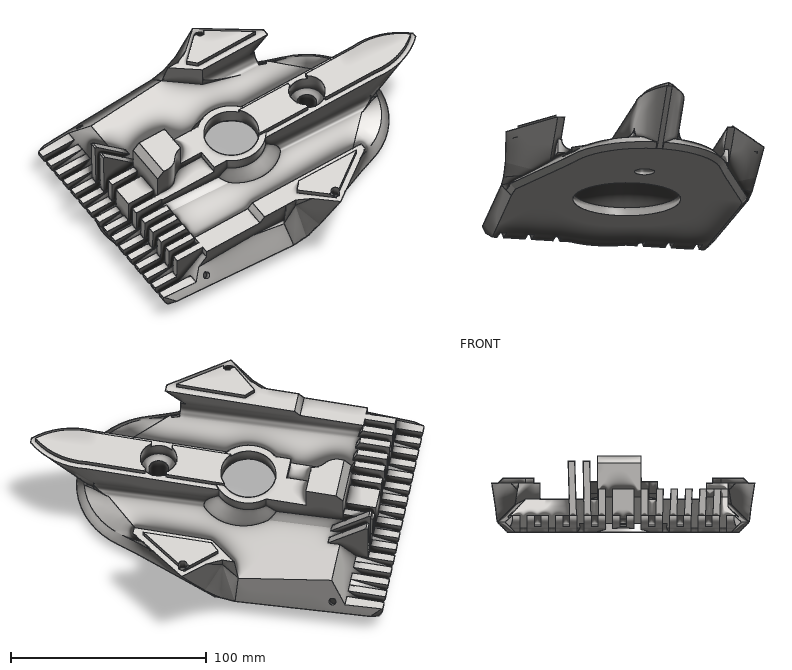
import cadquery as cq
import math


TOP_Z = 25.2
RING_Z = 26.0
PAD_RISE = 2.5
PLATE_Z = 8.5
FIN_Z = 22.3
TALL_FIN_Z = 36.5
BLOCK_Z = 39.1
SILL_Z = 5.2
DOME_SILL_Z = 2.7
DECK_Z = 13.5
DECK_TILT = 3.7
DECK_SLOPE = math.tan(math.radians(DECK_TILT))

NOSE_Y = 113.2
NOSE_SHOULDER_Y = 82.4
NOSE_LEAN = 26.7
TOOTH_TIP_Y = -80.6
TOOTH_LOW_Y = -79.0
PLATE_START_Y = -61.2
SLOT_Y = -67.5
BODY_FRONT_Y = -51.7

DOME_Y = 46.7
DOME_R = 42.0
HULL_HALF = 64.3
HULL_BACK_Y = -5.2
DOME_RISE = 3.9
CORNER_NEAR = (14.0, 71.7)
CORNER_FAR = (38.2, 47.5)
SMALL_HOLE_D = 10.0
COUNTERBORE_D = 18.6
COUNTERBORE_Z = 17.5
BORE_D = 28.0
BORE_Z = 18.5
RING_R = 17.6
RING_FOOT_Z = 19.8
CAVITY_R = 27.5
CAVITY_LIP_Z = 4.3

NOSE_HALF = 23.5 / 2
TAIL_HALF = 13.2
PAD_HALF = 9.1
NOSE_FILLET = 8.0 / 2
TAIL_FOOT_W = 5.2
TAIL_FOOT_H = 1.2
RAIL_IN = 42.5
RAIL_OUT = 53.5
RAIL_FILLET = 5.0
WING_BACK_Y = 11.0
WING_CORNER_X = 55.5
TOOTH_COUNT = 16
TOOTH_SPAN = 109.3
TOOTH_PITCH = TOOTH_SPAN / (TOOTH_COUNT - 1)
TOOTH_W = 3.9
FIN_W = 3.5
FILLET_FRONT_Y = 43.2
FOOT_ROOT = 2.0
BIG = 193.8


def deck_height(y):
    return DECK_Z - DECK_SLOPE * y


def prism(points, z0, z1):
    """Vertical prism over a plan outline."""
    return cq.Workplane("XY").workplane(offset=z0).polyline(points).close().extrude(z1 - z0)


def box(x0, x1, y0, y1, z0, z1):
    return cq.Workplane("XY").box(x1 - x0, y1 - y0, z1 - z0, centered=False).translate((x0, y0, z0))


def side_prism(points, x0, x1):
    """Prism along X over a (Y, Z) outline."""
    return cq.Workplane("YZ").workplane(offset=x0).polyline(points).close().extrude(x1 - x0)


def cylinder(x, y, radius, z0, z1):
    return cq.Workplane("XY").workplane(offset=z0).center(x, y).circle(radius).extrude(z1 - z0)


def cone(y, r0, z0, r1, z1):
    return (cq.Workplane("XY").workplane(offset=z0).center(0, y).circle(r0)
            .workplane(offset=z1 - z0).circle(r1).loft(ruled=True))


def both_sides(shape):
    return shape.union(shape.mirror("YZ"))


def bevelled(outline, sill_z, rise):
    """Solid widest at sill_z: tapers in by 45 degrees upwards by rise and down to the underside."""
    wire = outline.wires().val()
    upper = cq.Workplane("XY").add(wire).toPending().extrude(rise, taper=45)
    lower = cq.Workplane("XY").add(wire).toPending().extrude(sill_z, taper=45).mirror("XY")
    return upper.union(lower).translate((0, 0, sill_z))


def rear_hull():
    back_half, front_half = HULL_HALF, 60.5
    back_y, front_y = HULL_BACK_Y, -74.8
    flare = (back_half - front_half) / (back_y - front_y)
    reach = 23.3
    long_back, long_front = back_y + reach, front_y - reach
    outline = []
    for y, side in ((long_back, -1), (long_back, 1), (long_front, 1), (long_front, -1)):
        outline.append((side * (front_half + flare * (y - front_y)), y))
    above_deck_z = 18.5
    hull = bevelled(cq.Workplane("XY").polyline(outline).close(), SILL_Z, above_deck_z - SILL_Z)
    tip_half = 56.5
    front_plan = [(-BIG, back_y), (BIG, back_y), (BIG, front_y), (front_half, front_y),
                  (tip_half, TOOTH_TIP_Y), (-tip_half, TOOTH_TIP_Y), (-front_half, front_y), (-BIG, front_y)]
    hull = hull.intersect(prism(front_plan, 0, BLOCK_Z))
    deck_edge_y = (DECK_Z - PLATE_Z + PLATE_START_Y) / (1 + DECK_SLOPE)
    profile = (cq.Workplane("YZ").workplane(offset=-BIG).moveTo(back_y, 0).lineTo(back_y, deck_height(back_y))
               .lineTo(deck_edge_y, deck_height(deck_edge_y)).lineTo(PLATE_START_Y, PLATE_Z)
               .lineTo(TOOTH_TIP_Y, PLATE_Z).lineTo(TOOTH_TIP_Y, 7.8)
               .threePointArc((-79.8, 4.5), (-77.1, 1.7)).lineTo(-75.4, 0).close().extrude(2 * BIG))
    return hull.intersect(profile)


def dome(rise):
    """Dome outline and flanks, tapering in by 45 degrees over the given rise."""
    tangent = math.radians(18)
    flank = (DOME_R * math.cos(tangent), DOME_Y + DOME_R * math.sin(tangent))
    back_half, back_y = HULL_HALF - SILL_Z + DOME_SILL_Z, HULL_BACK_Y - 2 * rise
    bend_x, bend_y, side_y = 43.5, 50.4, 5.8
    outline = (cq.Workplane("XY").moveTo(*flank)
               .threePointArc((0, DOME_Y + DOME_R), (-flank[0], flank[1]))
               .lineTo(-bend_x, bend_y).lineTo(-back_half, side_y).lineTo(-back_half, back_y)
               .lineTo(back_half, back_y).lineTo(back_half, side_y).lineTo(bend_x, bend_y).close())
    whole = bevelled(outline, DOME_SILL_Z, rise)
    return whole.intersect(box(-BIG, BIG, HULL_BACK_Y, BIG, 0, BLOCK_Z))


def front_hull():
    return dome(DOME_RISE).union(dome_shoulder()).union(front_deck())


def dome_shoulder():
    """Ruled blend from the rim of the dome up to the straight front edge of the deck, on both sides."""
    z = DOME_SILL_Z + DOME_RISE
    radius = DOME_R - DOME_RISE
    start_deg, end_deg = 2, 75
    rim = []
    for deg in (start_deg, (start_deg + end_deg) / 2, end_deg):
        angle = math.radians(deg)
        rim.append(cq.Vector(radius * math.cos(angle), DOME_Y + radius * math.sin(angle), z))
    back_y = DOME_Y - 19.4
    back = cq.Vector(0, back_y, z)
    low_wire = cq.Wire.assembleEdges([cq.Edge.makeThreePointArc(*rim), cq.Edge.makeLine(rim[-1], back),
                                      cq.Edge.makeLine(back, rim[0])])
    top = [CORNER_FAR, CORNER_NEAR, (0, back_y)]
    top_wire = cq.Wire.makePolygon([cq.Vector(x, y, deck_height(y)) for x, y in top], close=True)
    return both_sides(cq.Workplane(obj=cq.Solid.makeLoft([low_wire, top_wire], True)))


def front_deck():
    reach = CORNER_NEAR[1] - HULL_BACK_Y
    half = [CORNER_NEAR, (CORNER_NEAR[0] + reach, HULL_BACK_Y)]
    outline = half + [(-x, y) for x, y in reversed(half)]
    front_y = CORNER_NEAR[1] + 2
    under_deck = [(HULL_BACK_Y, 0), (front_y, 0), (front_y, deck_height(front_y)),
                  (HULL_BACK_Y, deck_height(HULL_BACK_Y))]
    behind_wings = [(RAIL_IN, WING_BACK_Y), (WING_CORNER_X, HULL_BACK_Y),
                    (-WING_CORNER_X, HULL_BACK_Y), (-RAIL_IN, WING_BACK_Y)]
    deck_rise = 12.5
    body = dome(deck_rise).union(prism(behind_wings, DOME_SILL_Z, BLOCK_Z))
    return body.intersect(prism(outline, 0, BLOCK_Z)).intersect(side_prism(under_deck, -BIG, BIG))


def polyhedron(faces):
    """Solid bounded by flat faces, each given as a list of (x, y, z) corners."""
    shell = [cq.Face.makeFromWires(cq.Wire.makePolygon([cq.Vector(*p) for p in face], close=True))
             for face in faces]
    return cq.Workplane(obj=cq.Solid.makeSolid(cq.Shell.makeShell(shell)))


def y_on_plane(p1, p2, p3, x, z):
    """Y of the point at (x, z) on the plane through three points."""
    origin = cq.Vector(*p1)
    normal = (cq.Vector(*p2) - origin).cross(cq.Vector(*p3) - origin)
    return origin.y - (normal.x * (x - origin.x) + normal.z * (z - origin.z)) / normal.y


def wing():
    low_z = DOME_SILL_Z
    outer_x, front_y = 46.1, 51.3
    inner_front, outer_front, tip = (RAIL_IN, front_y, TOP_Z), (outer_x, front_y, TOP_Z), (67.2, 21.9, TOP_Z)
    notch, inner_back = (RAIL_OUT, 3.5, TOP_Z), (RAIL_IN, WING_BACK_Y, TOP_Z)
    notch_foot, tip_mid, tip_low = (RAIL_OUT, 3.3, 21.0), (65.3, 10.0, 12.4), (64.7, 2.3, 7.2)
    hull_side = (HULL_HALF, HULL_BACK_Y, SILL_Z)
    shoulder_x = 57.4
    shoulder = (shoulder_x, y_on_plane(tip, notch_foot, tip_mid, shoulder_x, TOP_Z), TOP_Z)
    deck_corner = (WING_CORNER_X, HULL_BACK_Y, deck_height(HULL_BACK_Y))
    deck_low, inner_back_low = (WING_CORNER_X, HULL_BACK_Y, low_z), (RAIL_IN, WING_BACK_Y, low_z)
    heel = (RAIL_OUT, y_on_plane(inner_back, inner_back_low, deck_corner, RAIL_OUT, TOP_Z), TOP_Z)
    front_low_y = y_on_plane(outer_front, tip, tip_mid, outer_x, low_z)
    inner_front_low, outer_front_low = (RAIL_IN, front_low_y, low_z), (outer_x, front_low_y, low_z)
    hull_low = (HULL_HALF - SILL_Z + low_z, HULL_BACK_Y, low_z)
    front = [[inner_front, outer_front, outer_front_low, inner_front_low],
             [outer_front, tip, tip_mid, outer_front_low],
             [outer_front_low, tip_mid, tip_low], [outer_front_low, tip_low, hull_side],
             [outer_front_low, hull_side, hull_low]]
    rear = [[tip, shoulder, notch_foot, tip_mid], [shoulder, notch, notch_foot],
            [notch, heel, notch_foot], [heel, deck_corner, notch_foot],
            [notch_foot, deck_corner, hull_side], [notch_foot, hull_side, tip_low],
            [notch_foot, tip_low, tip_mid], [hull_side, deck_corner, deck_low, hull_low],
            [inner_back, heel, deck_corner, deck_low, inner_back_low]]
    top = [inner_front, outer_front, tip, shoulder, notch, heel, inner_back]
    bottom = [inner_front_low, outer_front_low, hull_low, deck_low, inner_back_low]
    inner_wall = [inner_front, inner_front_low, inner_back_low, inner_back]
    solid = polyhedron(front + rear + [top, bottom, inner_wall])
    pad_tip, pad_z = 64.0, TOP_Z + PAD_RISE
    pad = prism([(46.0, 46.1), (pad_tip, 21.3), (50.0, 6.4), (45.7, 10.5)], TOP_Z, pad_z)
    bevel = (cq.Workplane("XZ").polyline([(pad_tip, TOP_Z), (pad_tip - PAD_RISE, pad_z), (pad_tip, pad_z)])
             .close().extrude(-BIG))
    solid = solid.union(pad.cut(bevel))
    pin_d, pin_depth = 4.3, 3.5
    return solid.cut(cylinder(61.5, 22.5, pin_d / 2, TOP_Z - pin_depth, BLOCK_Z))


def tilt_with_deck(strip):
    return strip.rotate((0, 0, 0), (1, 0, 0), -DECK_TILT).translate((0, 0, DECK_Z))


def foot_fillet(wall_x, side, radius, y0, y1):
    toe = wall_x + side * radius
    profile = (cq.Workplane("XZ").moveTo(wall_x - side * FOOT_ROOT, -FOOT_ROOT)
               .lineTo(wall_x - side * FOOT_ROOT, radius)
               .lineTo(wall_x, radius)
               .radiusArc((toe, 0), -side * radius).lineTo(toe, -FOOT_ROOT).close())
    strip = profile.extrude(y1 - y0).translate((0, y1, 0))
    return tilt_with_deck(strip)


def tail_foot():
    profile = (cq.Workplane("XZ").moveTo(TAIL_HALF - FOOT_ROOT, -FOOT_ROOT)
               .lineTo(TAIL_HALF - FOOT_ROOT, TAIL_FOOT_H)
               .lineTo(TAIL_HALF, TAIL_FOOT_H).lineTo(TAIL_HALF + TAIL_FOOT_W, 0)
               .lineTo(TAIL_HALF + TAIL_FOOT_W, -FOOT_ROOT).close())
    return both_sides(tilt_with_deck(profile.extrude(-BODY_FRONT_Y)))


def nose_fillet():
    fade_y, end_y = 70.7, 78.5
    strip = foot_fillet(NOSE_HALF, 1, NOSE_FILLET, 0, end_y)
    toe = NOSE_HALF + NOSE_FILLET
    fade = [(0, 0), (toe, 0), (toe, fade_y), (NOSE_HALF, end_y), (0, end_y)]
    return both_sides(strip.intersect(prism(fade, 0, TOP_Z)))


def left_wing_fillet():
    front_y, fade_y, end_y = FILLET_FRONT_Y, 31.0, WING_BACK_Y
    strip = foot_fillet(-RAIL_IN, 1, RAIL_FILLET, end_y, front_y)
    toe = -RAIL_IN + RAIL_FILLET
    fade = [(-RAIL_IN - 2, front_y), (toe, front_y), (toe, fade_y), (-RAIL_IN, end_y), (-RAIL_IN - 2, end_y)]
    return strip.intersect(prism(fade, 0, TOP_Z))


def ogive(half, tip_half, tip_y, shoulder_y, back_y):
    """Pointed outline with arc flanks and a straight back."""
    bulge = (half * 0.81 + tip_half * 0.19, shoulder_y + (tip_y - shoulder_y) * 0.56)
    return (cq.Workplane("XY").moveTo(-half, back_y).lineTo(-half, shoulder_y)
            .threePointArc((-bulge[0], bulge[1]), (-tip_half, tip_y)).lineTo(tip_half, tip_y)
            .threePointArc(bulge, (half, shoulder_y)).lineTo(half, back_y).close())


def nose():
    tip_half, back_y, pad_tip_half, pad_margin = 1.4, 13.5, 0.2, 2.5
    outline = ogive(NOSE_HALF, tip_half, NOSE_Y, NOSE_SHOULDER_Y, back_y)
    top = outline.wires().val().translate(cq.Vector(0, 0, TOP_Z))
    foot = top.translate(cq.Vector(0, -NOSE_LEAN, -TOP_Z))
    solid = cq.Workplane(obj=cq.Solid.makeLoft([foot, top], True))
    solid = solid.union(box(-NOSE_HALF, NOSE_HALF, 0, DOME_Y, DOME_SILL_Z, TOP_Z))
    pad = ogive(PAD_HALF, pad_tip_half, NOSE_Y - pad_margin, NOSE_SHOULDER_Y, 0).extrude(PAD_RISE)
    pad = pad.translate((0, 0, TOP_Z))
    gap_half = 5.5
    pad_gap = box(-PAD_HALF, PAD_HALF, DOME_Y - gap_half, DOME_Y + gap_half, TOP_Z, TOP_Z + PAD_RISE)
    return solid.union(pad.cut(pad_gap))


def ring():
    drop = RING_FOOT_Z - PLATE_Z
    foot = cone(0, RING_R + drop, PLATE_Z, RING_R, RING_FOOT_Z)
    return foot.union(cylinder(0, 0, RING_R, RING_FOOT_Z, RING_Z))


def tail():
    solid = box(-TAIL_HALF, TAIL_HALF, BODY_FRONT_Y, 0, PLATE_Z, RING_Z)
    shelf_x, shelf_back_y = 1.5, -19.5
    shelf = box(shelf_x, TAIL_HALF, BODY_FRONT_Y, shelf_back_y, FIN_Z, RING_Z)
    solid = solid.cut(shelf)
    back_y, block_right, chamfer = -32.4, 9.1, 3.7
    block = (cq.Workplane("XY").workplane(offset=FIN_Z - 2).moveTo(-TAIL_HALF, back_y).lineTo(shelf_x, back_y)
             .threePointArc((2.7, -35.7), (5.2, -38.5)).threePointArc((8.0, -41.5), (block_right, -45.0))
             .lineTo(block_right, BODY_FRONT_Y).lineTo(-TAIL_HALF, BODY_FRONT_Y).close()
             .extrude(BLOCK_Z - FIN_Z + 2))
    bevel = [(BODY_FRONT_Y, BLOCK_Z - chamfer), (BODY_FRONT_Y + chamfer, BLOCK_Z), (BODY_FRONT_Y, BLOCK_Z)]
    return solid.union(block.cut(side_prism(bevel, -BIG, BIG)))


def rail():
    step_y, drop = -15.9, TOP_Z - FIN_Z
    profile = [(WING_BACK_Y, PLATE_Z), (WING_BACK_Y, TOP_Z), (step_y, TOP_Z), (step_y - drop, FIN_Z),
               (BODY_FRONT_Y, FIN_Z), (BODY_FRONT_Y, PLATE_Z)]
    return side_prism(profile, RAIL_IN, RAIL_OUT)


def front_slope():
    upper_z = PLATE_Z + BODY_FRONT_Y - PLATE_START_Y
    wedge = [(PLATE_START_Y, PLATE_Z), (BODY_FRONT_Y, upper_z), (BODY_FRONT_Y, PLATE_Z)]
    return (side_prism(wedge, -TAIL_HALF, TAIL_HALF)
            .union(side_prism(wedge, RAIL_IN, RAIL_OUT)))


def comb_cut():
    gap = (TOOTH_PITCH - TOOTH_W) / 2
    slot = [(PLATE_START_Y, PLATE_Z), (SLOT_Y, PLATE_Z + SLOT_Y - PLATE_START_Y), (SLOT_Y, 0),
            (TOOTH_TIP_Y, 0), (TOOTH_TIP_Y, PLATE_Z)]
    floor_z = 3.9
    ramp = [(PLATE_START_Y, PLATE_Z), (TOOTH_LOW_Y + 0.2, floor_z), (TOOTH_LOW_Y + 0.2, 0),
            (TOOTH_TIP_Y, 0), (TOOTH_TIP_Y, PLATE_Z)]
    cut = cq.Workplane("XY")
    last = TOOTH_COUNT // 2 - 1
    for i in range(-last, last + 1):
        x = i * TOOTH_PITCH
        cut = cut.add(side_prism(slot if i % 2 else ramp, x - gap, x + gap))
    return cut.combine()


def fin(tooth, profile, lean):
    """Upright fin over one tooth; lean is its sideways shift at full fin height."""
    x = (tooth - (TOOTH_COUNT + 1) / 2) * TOOTH_PITCH
    height = max(z for y, z in profile)
    half = FIN_W / 2
    leaning = (cq.Workplane("XZ").polyline([(x - half, DOME_SILL_Z), (x + half, DOME_SILL_Z),
                                            (x + half + lean, height), (x - half + lean, height)])
               .close().extrude(-SLOT_Y + 2))
    return leaning.intersect(side_prism(profile, -BIG, BIG))


def fins():
    root_z = PLATE_Z - 2
    block_half = 5.6
    tall_back_y, tall_crest_y = -46.5, SLOT_Y + 1.0
    tall = [(tall_back_y, PLATE_Z), (tall_back_y, TALL_FIN_Z + tall_crest_y - tall_back_y),
            (tall_crest_y, TALL_FIN_Z), (SLOT_Y, TALL_FIN_Z), (SLOT_Y, root_z), (PLATE_START_Y, root_z)]
    low_back_y = -49.6
    low = [(low_back_y, PLATE_Z), (low_back_y, deck_height(low_back_y)), (low_back_y - 2.1, FIN_Z),
           (SLOT_Y, FIN_Z), (SLOT_Y, root_z), (PLATE_START_Y, root_z)]
    solid = box(-block_half, block_half, SLOT_Y, BODY_FRONT_Y, root_z, FIN_Z)
    for tooth, profile, lean in ((5, tall, -1.0), (6, tall, -0.5), (7, low, 0), (10, low, 0),
                                 (11, low, 0.5), (12, low, 0.5), (13, low, 0.8), (14, low, 0.8),
                                 (15, low, 0.8)):
        solid = solid.union(fin(tooth, profile, lean))
    return solid


def front_foot():
    radius, centre_y, height = 29.6, -49.5, 4.7
    disc = cone(centre_y, radius, 0, radius - 2.3, height)
    return disc.intersect(box(-BIG, BIG, TOOTH_TIP_Y, PLATE_START_Y, 0, height))


def bores():
    cut = cylinder(0, 0, BORE_D / 2, 0, BLOCK_Z)
    cut = cut.union(cone(0, CAVITY_R, CAVITY_LIP_Z, BORE_D / 2, BORE_Z))
    cut = cut.union(cylinder(0, 0, CAVITY_R, 0, CAVITY_LIP_Z))
    cut = cut.union(cylinder(0, DOME_Y, SMALL_HOLE_D / 2, 0, BLOCK_Z))
    return cut.union(cylinder(0, DOME_Y, COUNTERBORE_D / 2, COUNTERBORE_Z, BLOCK_Z))


def side_pins():
    pin_d, depth = 3.5, 3.9
    plane = cq.Plane(origin=(57.5, -54.6, 9.1), xDir=(0, 1, 0), normal=(1, 0, 1))
    return both_sides(cq.Workplane(plane).circle(pin_d / 2).extrude(depth, both=True))


result = rear_hull().cut(comb_cut()).union(front_foot()).union(front_hull())
result = result.union(both_sides(wing())).union(rail()).union(front_slope())
result = result.union(nose()).union(ring()).union(tail())
result = result.union(nose_fillet())
result = result.union(tail_foot())
result = result.union(foot_fillet(RAIL_IN, -1, RAIL_FILLET, BODY_FRONT_Y, FILLET_FRONT_Y))
result = result.union(left_wing_fillet())
result = result.union(fins()).cut(bores()).cut(side_pins())